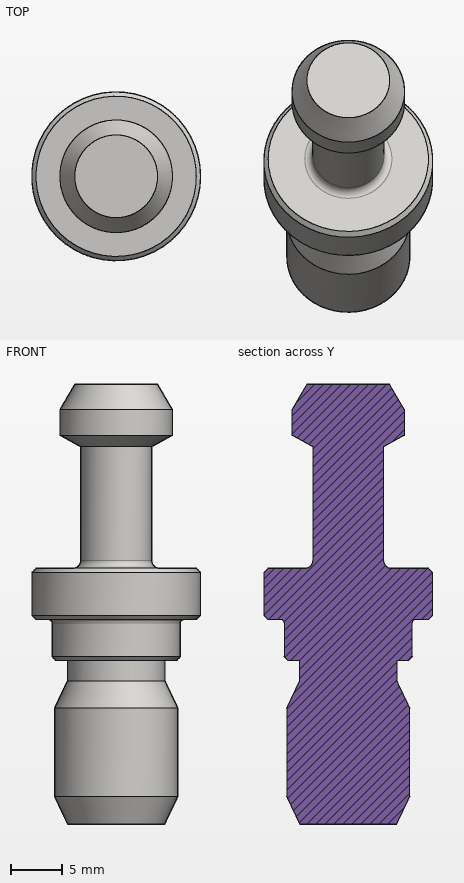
import cadquery as cq

length = 43.0
shank_top = 11.4
neck_bottom = 14.0
neck_top = 16.0
flange_bottom = 20.0
flange_top = 25.03
stem_top = 36.9
head_bottom = 38.0
head_top = 40.5

tip_radius = 4.75
shank_radius = 6.0
neck_radius = 4.77
pilot_radius = 6.28
flange_radius = 8.25
stem_radius = 3.5
head_radius = 5.5
head_tip_radius = 4.05

tip_chamfer_height = 2.7
pilot_chamfer = 0.4
flange_chamfer = 0.45
stem_fillet = 0.77
pilot_fillet = 0.3

selection_margin = 0.05


def cylinder(radius, bottom, top):
    return cq.Workplane("XY").workplane(offset=bottom).circle(radius).extrude(top - bottom)


def turned(profile):
    """Revolve (radius, height) points, closed along the axis, about Z."""
    bottom = profile[0][1]
    top = profile[-1][1]
    outline = [(0, bottom)] + profile + [(0, top)]
    return cq.Workplane("XZ").polyline(outline).close().revolve(360, (0, 0), (0, 1))


shank = turned([
    (tip_radius, 0),
    (shank_radius, tip_chamfer_height),
    (shank_radius, shank_top),
    (neck_radius, neck_bottom),
    (neck_radius, neck_top),
])

pilot = cylinder(pilot_radius, neck_top, flange_bottom).faces("<Z").edges().chamfer(pilot_chamfer)
flange = cylinder(flange_radius, flange_bottom, flange_top).edges("%CIRCLE").chamfer(flange_chamfer)

head = turned([
    (stem_radius, flange_top),
    (stem_radius, stem_top),
    (head_radius, head_bottom),
    (head_radius, head_top),
    (head_tip_radius, length),
])

body = shank.union(pilot).union(flange).union(head)


def fillet_root(solid, radius, height, fillet):
    """Fillet the inside corner of the given radius where it meets a face at this height."""
    reach = radius + selection_margin
    corner = cq.selectors.BoxSelector(
        (-reach, -reach, height - selection_margin),
        (reach, reach, height + selection_margin),
        boundingbox=True,
    )
    return solid.edges(corner).fillet(fillet)


body = fillet_root(body, stem_radius, flange_top, stem_fillet)
result = fillet_root(body, pilot_radius, flange_bottom, pilot_fillet)